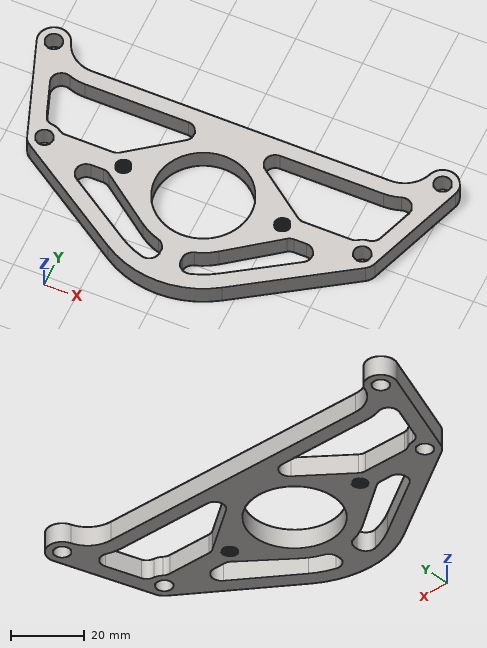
import cadquery as cq
import math

INCH = 25.4
thickness = INCH / 4
wall = 3 / 16 * INCH
rib_half_width = INCH / 8
pocket_fillet = INCH / 8
bore_radius = 9 / 16 * INCH
rim_radius = 31.006
top_edge_y = INCH
ear_x = 58.2425
ear_y = top_edge_y + wall
elbow_x = 15 / 8 * INCH
mount_hole_diameter = 5.1
neck_radius = 2 * wall

tapped_x = 15 / 16 * INCH
thread_pitch = INCH / 32
thread_major_radius = 0.190 * INCH / 2
thread_minor_radius = 2.07
thread_crest_width = thread_pitch / 8
thread_flank_angle = math.radians(30)
thread_overlap = 0.1
thread_start_angle = 225

bore = cq.Vector(0, 0)
ear = cq.Vector(-ear_x, ear_y)
elbow = cq.Vector(-elbow_x, 0)
hub_radius = bore_radius + wall
slot_rim_radius = rim_radius - wall
pocket_top_y = top_edge_y - wall

side_angle = math.atan2(ear_y, elbow_x - ear_x)
side_normal = side_angle + math.pi / 2
lower_normal = math.pi + math.acos((rim_radius - wall) / elbow_x)
slope_tilt = math.acos((hub_radius - wall) / tapped_x)

neck_rise = top_edge_y + neck_radius - ear_y
neck_run = math.sqrt((neck_radius + wall) ** 2 - neck_rise ** 2)
neck = cq.Vector(neck_run - ear_x, ear_y + neck_rise)
neck_angle = math.atan2(neck_rise, neck_run)


def polar(center, radius, angle):
    """Point at a radius and an angle (radians from +X) around a centre."""
    return center + cq.Vector(radius * math.cos(angle), radius * math.sin(angle))


def add_arc(profile, center, radius, start, end):
    """Draw an arc that starts at the current point of the profile."""
    middle_point = polar(center, radius, (start + end) / 2).toTuple()[:2]
    return profile.threePointArc(middle_point, polar(center, radius, end).toTuple()[:2])


def add_line_and_arc(profile, center, radius, start, end):
    """Draw a line to the start of an arc, then the arc itself."""
    profile = profile.lineTo(*polar(center, radius, start).toTuple()[:2])
    return add_arc(profile, center, radius, start, end)


def round_corners(body, corners):
    """Fillet the vertical edges that stand on the given (x, y) corners."""
    for x, y in corners:
        edge = body.edges(cq.selectors.NearestToPointSelector((x, y, thickness / 2)))
        body = edge.fillet(pocket_fillet)
    return body


def both_sides(half):
    """A left-hand body together with its mirror image."""
    return half.union(half.mirror("YZ"))


def sloping_edge_point(y):
    """Point at height y on the sloping edge; the upper and lower edges mirror each other in y = 0."""
    return (abs(y) * math.sin(slope_tilt) - hub_radius) / math.cos(slope_tilt), y


def make_plate():
    profile = cq.Workplane("XY").moveTo(0, top_edge_y)
    profile = add_line_and_arc(profile, neck, neck_radius, -math.pi / 2, neck_angle - math.pi)
    profile = add_arc(profile, ear, wall, neck_angle, side_normal)
    profile = add_line_and_arc(profile, elbow, wall, side_normal, lower_normal)
    profile = add_line_and_arc(profile, bore, rim_radius, lower_normal, 3 * math.pi / 2)
    return both_sides(profile.close().extrude(thickness))


def make_upper_pocket():
    neck_offset_radius = neck_radius + wall
    from_elbow = neck - elbow
    along = from_elbow.dot(polar(bore, 1, side_angle))
    across = from_elbow.dot(polar(bore, 1, side_normal))
    side_top = polar(elbow, along - math.sqrt(neck_offset_radius ** 2 - across ** 2), side_angle)
    side_top_angle = math.atan2(side_top.y - neck.y, side_top.x - neck.x)
    side_foot = polar(elbow, wall, side_angle)
    boss_end_angle = math.asin(rib_half_width / wall)
    boss_end = polar(elbow, wall, boss_end_angle)
    rib_end = sloping_edge_point(rib_half_width)
    slope_top = sloping_edge_point(pocket_top_y)

    profile = cq.Workplane("XY").moveTo(*rib_end).lineTo(*slope_top)
    profile = add_line_and_arc(profile, neck, neck_offset_radius, -math.pi / 2, side_top_angle)
    profile = add_line_and_arc(profile, elbow, wall, side_angle, boss_end_angle)
    pocket = profile.close().extrude(thickness)
    corners = [rib_end, slope_top]
    corners += [(point.x, point.y) for point in (side_top, side_foot, boss_end)]
    return round_corners(pocket, corners)


def make_lower_slot():
    web_angle_hub = math.pi + math.acos(rib_half_width / hub_radius)
    web_angle_rim = math.pi + math.acos(rib_half_width / slot_rim_radius)
    hub_end = polar(bore, hub_radius, web_angle_hub)
    rim_end = polar(bore, slot_rim_radius, web_angle_rim)
    rib_end = sloping_edge_point(-rib_half_width)
    outer_x = (slot_rim_radius + rib_half_width * math.sin(lower_normal)) / math.cos(lower_normal)
    outer_end = (outer_x, -rib_half_width)

    profile = cq.Workplane("XY").moveTo(*outer_end).lineTo(*rib_end)
    profile = add_line_and_arc(profile, bore, hub_radius, math.pi + slope_tilt, web_angle_hub)
    profile = add_line_and_arc(profile, bore, slot_rim_radius, web_angle_rim, lower_normal)
    slot = profile.close().extrude(thickness)
    corners = [outer_end, rib_end, (hub_end.x, hub_end.y), (rim_end.x, rim_end.y)]
    return round_corners(slot, corners)


def make_round_holes():
    centers = [(sign * x, y) for sign in (-1, 1) for x, y in ((ear_x, ear_y), (elbow_x, 0))]
    mounts = cq.Workplane("XY").pushPoints(centers).circle(mount_hole_diameter / 2).extrude(thickness)
    return mounts.union(cq.Workplane("XY").circle(bore_radius).extrude(thickness))


def make_thread_ridge():
    """Helical V ridge that runs one pitch past both faces of the plate."""
    root_radius = thread_minor_radius - thread_overlap
    crest_half = thread_crest_width / 2
    root_half = crest_half + (thread_major_radius - root_radius) * math.tan(thread_flank_angle)
    helix = cq.Wire.makeHelix(thread_pitch, thickness + 2 * thread_pitch, thread_minor_radius)
    profile = (
        cq.Workplane("XZ")
        .moveTo(root_radius, -root_half)
        .lineTo(thread_major_radius, -crest_half)
        .lineTo(thread_major_radius, crest_half)
        .lineTo(root_radius, root_half)
        .close()
    )
    ridge = profile.sweep(helix, isFrenet=True)
    return ridge.rotate((0, 0, 0), (0, 0, 1), thread_start_angle).translate((0, 0, -thread_pitch))


def cut_tapped_holes(body):
    ridge = make_thread_ridge()
    core = cq.Workplane("XY").circle(thread_minor_radius).extrude(thickness)
    for x in (-tapped_x, tapped_x):
        body = body.cut(ridge.translate((x, 0, 0))).cut(core.translate((x, 0, 0)))
    return body


plate = make_plate()
plate = plate.cut(both_sides(make_upper_pocket())).cut(both_sides(make_lower_slot()))
plate = plate.cut(make_round_holes())
result = cut_tapped_holes(plate)